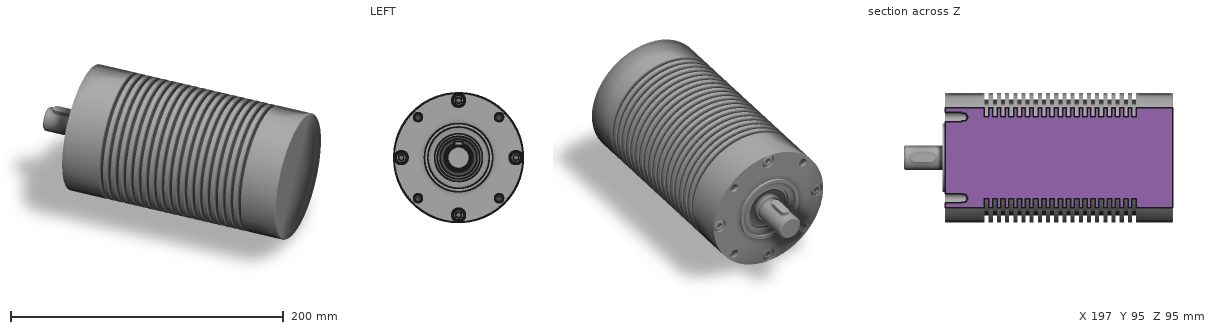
import cadquery as cq
import math

total_length = 197.0
body_diameter = 95.0
mount_face = 0.0

flange_length = 29.0
groove_count = 19
groove_width = 3.0
rib_width = 3.0
groove_pitch = groove_width + rib_width
groove_diameter = 85.0
rear_chamfer = 0.5

pilot_diameter = 50.0
pilot_height = 2.0
pilot_face = mount_face - pilot_height
recess_diameter = 45.0
recess_depth = 2.0
bore_diameter = 35.0
bore_depth = 1.5
recess_floor = pilot_face + recess_depth
bore_floor = recess_floor + bore_depth

seal_step_diameter = 31.2
seal_inner_diameter = 27.0
seal_slope_height = 0.6
seal_step_height = 2.0
seal_bulge = 0.1
seal_floor = bore_floor + seal_step_height

shaft_diameter = 18.0
shaft_projection = 28.0
shaft_tip = pilot_face - shaft_projection
shaft_chamfer = 1.0
sleeve_diameter = 21.0
sleeve_setback = 0.7
sleeve_face = pilot_face + sleeve_setback
sleeve_chamfer = 0.4
countersink_diameter = 19.6
countersink_depth = 0.8
rear_face = shaft_tip + total_length

key_width = 6.0
key_length = 18.0
key_setback = 5.0
key_start = shaft_tip + key_setback
key_top = 11.5
key_height = 6.0
key_bottom = key_top - key_height

fastening_radius = 42.0
fasteners_of_each_kind = 4
angle_step = 360.0 / fasteners_of_each_kind

counterbore_diameter = 10.0
counterbore_depth = 2.0
head_recess = 0.5
head_face = mount_face + head_recess
screw_head_diameter = 8.5
screw_head_chamfer = 0.55
socket_sides = 6
socket_across_flats = 4.0
socket_depth = 2.0

thread_diameter = 6.5
thread_depth = 12.0
core_diameter = 5.2
core_depth = 15.0
drill_point_angle = 118.0


def cylinder(diameter, start, end):
    """Cylinder on the motor axis between two X positions."""
    return cq.Workplane("YZ", origin=(start, 0, 0)).circle(diameter / 2).extrude(end - start)


def on_fastening_circle(shape, first_angle):
    """Copies of a shape, built on the motor axis, spread over the fastening circle from an angle off +Y."""
    copies = cq.Workplane("YZ")
    for index in range(fasteners_of_each_kind):
        angle = math.radians(first_angle + index * angle_step)
        offset = (0, fastening_radius * math.cos(angle), fastening_radius * math.sin(angle))
        copies = copies.add(shape.translate(offset))
    return copies.combine()


def make_body():
    body = cylinder(body_diameter, mount_face, rear_face).faces(">X").chamfer(rear_chamfer)
    for index in range(groove_count):
        start = mount_face + flange_length + index * groove_pitch
        end = start + groove_width
        ring = cylinder(body_diameter + groove_width, start, end)
        body = body.cut(ring.cut(cylinder(groove_diameter, start, end)))
    return body


def add_pilot(body):
    body = body.union(cylinder(pilot_diameter, pilot_face, mount_face))
    body = body.cut(cylinder(recess_diameter, pilot_face, recess_floor))
    return body.cut(cylinder(bore_diameter, recess_floor, seal_floor))


def make_seal():
    inner_radius = seal_inner_diameter / 2
    step_radius = seal_step_diameter / 2
    outer_radius = bore_diameter / 2
    return (
        cq.Workplane("XY")
        .moveTo(seal_floor, inner_radius)
        .sagittaArc((seal_floor - seal_slope_height, step_radius), seal_bulge)
        .lineTo(bore_floor - seal_slope_height, step_radius)
        .sagittaArc((bore_floor, outer_radius), seal_bulge)
        .lineTo(seal_floor, outer_radius)
        .close()
        .revolve(360, (0, 0, 0), (1, 0, 0))
    )


def make_shaft():
    shaft = cylinder(shaft_diameter, shaft_tip, seal_floor).faces("<X").chamfer(shaft_chamfer)
    sleeve = cylinder(sleeve_diameter, sleeve_face, seal_floor).faces("<X").chamfer(sleeve_chamfer)
    axis = cq.Vector(1, 0, 0)
    countersink = cq.Solid.makeCone(
        countersink_diameter / 2, shaft_diameter / 2, countersink_depth, cq.Vector(sleeve_face, 0, 0), axis
    )
    return sleeve.cut(cq.Workplane(countersink)).union(shaft)


def make_key():
    return (
        cq.Workplane("XY", origin=(key_start + key_length / 2, 0, key_bottom))
        .slot2D(key_length, key_width)
        .extrude(key_height)
    )


def make_counterbore():
    """Counterbore reduced by the chamfered screw head standing in it."""
    floor = mount_face + counterbore_depth
    head = cylinder(screw_head_diameter, head_face, floor).faces("<X").chamfer(screw_head_chamfer)
    return cylinder(counterbore_diameter, mount_face, floor).cut(head)


def make_socket():
    """Hexagonal socket with two corners along Z."""
    across_corners = socket_across_flats / math.cos(math.pi / socket_sides)
    return (
        cq.Workplane("YZ", origin=(head_face, 0, 0))
        .transformed(rotate=(0, 0, 90))
        .polygon(socket_sides, across_corners)
        .extrude(socket_depth)
    )


def make_threaded_hole():
    core_radius = core_diameter / 2
    core_end = mount_face + core_depth
    point_length = core_radius / math.tan(math.radians(drill_point_angle / 2))
    drill_point = cq.Workplane(
        cq.Solid.makeCone(core_radius, 0, point_length, cq.Vector(core_end, 0, 0), cq.Vector(1, 0, 0))
    )
    thread = cylinder(thread_diameter, mount_face, mount_face + thread_depth)
    return thread.union(cylinder(core_diameter, mount_face, core_end)).union(drill_point)


motor = add_pilot(make_body())
motor = motor.union(make_seal()).union(make_shaft()).union(make_key())
motor = motor.cut(on_fastening_circle(make_counterbore(), 0))
motor = motor.cut(on_fastening_circle(make_socket(), 0))
result = motor.cut(on_fastening_circle(make_threaded_hole(), angle_step / 2))